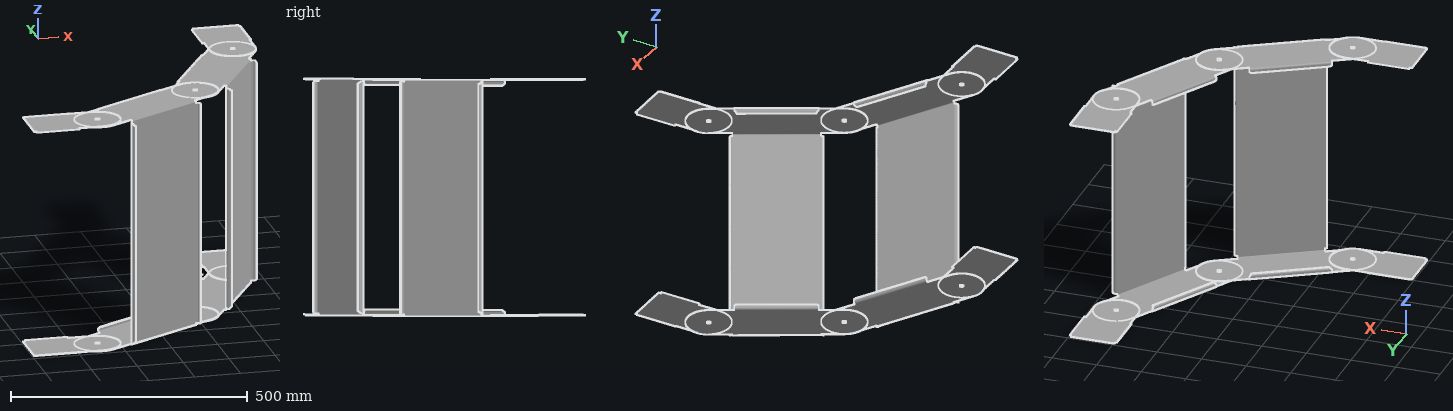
import cadquery as cq
import math

SHEET = 1.5
FRAME_HEIGHT = 500.5
PLATE_RADIUS = 49.5
JOINT_PITCH = 287.0
END_LENGTH = 150.0
LINK_TURN = 30
HOLE_DIAMETER = 9.0

BEND_RADIUS = 5.55
PANEL_BEND_RADIUS = 3.0
PANEL_OFFSET = 5.55
END_RIM_TURN = 45
END_RIM_LENGTH = 93.0
HOOK_WALL = 3.0
RIM_INSET = 5.0

INNER_RADIUS = BEND_RADIUS - SHEET
PANEL_LENGTH = JOINT_PITCH - 2 * PLATE_RADIUS
PANEL_Y = -PLATE_RADIUS - PANEL_OFFSET
PANEL_RIM_LENGTH = FRAME_HEIGHT - 2 * RIM_INSET


def bend_point(radius, turn):
    """Point on a bend that starts at the sheet edge (0, 0) and turns down by the given degrees."""
    angle = math.radians(turn)
    return (radius * math.sin(angle), radius * math.cos(angle) - BEND_RADIUS)


def curved_rim(length):
    """Rim along +Z made of one bend; the sheet it continues lies at x < 0, y = -SHEET to 0."""
    return (
        cq.Workplane("XY")
        .moveTo(0, 0)
        .threePointArc(bend_point(BEND_RADIUS, END_RIM_TURN / 2), bend_point(BEND_RADIUS, END_RIM_TURN))
        .lineTo(*bend_point(INNER_RADIUS, END_RIM_TURN))
        .threePointArc(bend_point(INNER_RADIUS, END_RIM_TURN / 2), (0, -SHEET))
        .close()
        .extrude(length)
    )


def hooked_rim(length):
    """Rim along +Z with two quarter bends and a flat strip between them, bevelled at its tip corners."""
    wall_end = -BEND_RADIUS - HOOK_WALL
    tip_y = wall_end - BEND_RADIUS
    outer_middle = bend_point(BEND_RADIUS, 45)
    inner_middle = bend_point(INNER_RADIUS, 45)
    hook = (
        cq.Workplane("XY")
        .moveTo(0, 0)
        .threePointArc(outer_middle, (BEND_RADIUS, -BEND_RADIUS))
        .lineTo(BEND_RADIUS, wall_end)
        .threePointArc((outer_middle[0], tip_y - outer_middle[1]), (0, tip_y))
        .lineTo(0, tip_y + SHEET)
        .threePointArc((inner_middle[0], tip_y - inner_middle[1]), (INNER_RADIUS, wall_end))
        .lineTo(INNER_RADIUS, -BEND_RADIUS)
        .threePointArc(inner_middle, (0, -SHEET))
        .close()
        .extrude(length)
    )
    corner = (
        cq.Workplane("YZ")
        .polyline([(wall_end, 0), (tip_y, 0), (tip_y, BEND_RADIUS)])
        .close()
        .extrude(BEND_RADIUS)
    )
    return hook.cut(corner).cut(corner.mirror("XY", (0, 0, length / 2)))


def upper_side_rim(strip, start_x):
    """Lay a rim along +X on the +Y edge of a plate whose top face is at z = 0."""
    along_x = strip.rotate((0, 0, 0), (1, 1, 1), 120)
    return along_x.translate((start_x, PLATE_RADIUS, 0))


def pivot_hole(x):
    return cq.Workplane("XY").center(x, 0).circle(HOLE_DIAMETER / 2).extrude(-SHEET)


def upper_end_plate():
    """End plate along -X from its joint at the origin, top face at z = 0, both sides rimmed."""
    plate = (
        cq.Workplane("XY")
        .moveTo(-END_LENGTH, PLATE_RADIUS)
        .lineTo(0, PLATE_RADIUS)
        .threePointArc((PLATE_RADIUS, 0), (0, -PLATE_RADIUS))
        .lineTo(-END_LENGTH, -PLATE_RADIUS)
        .close()
        .extrude(-SHEET)
        .cut(pivot_hole(0))
    )
    side = upper_side_rim(curved_rim(END_RIM_LENGTH), RIM_INSET - END_LENGTH)
    return plate.union(side).union(side.mirror("XZ"))


def upper_link_plate():
    """Channel plate from the joint at the origin to the next one along +X, top face at z = 0."""
    plate = (
        cq.Workplane("XY")
        .center(JOINT_PITCH / 2, 0)
        .slot2D(JOINT_PITCH + 2 * PLATE_RADIUS, 2 * PLATE_RADIUS)
        .extrude(-SHEET)
        .cut(pivot_hole(0))
        .cut(pivot_hole(JOINT_PITCH))
    )
    rim_length = PANEL_LENGTH - 2 * RIM_INSET
    return plate.union(upper_side_rim(hooked_rim(rim_length), PLATE_RADIUS + RIM_INSET))


def plate_pair(upper_plate):
    """The plate at the top of the frame and its mirror image at the bottom."""
    upper = upper_plate.translate((0, 0, FRAME_HEIGHT))
    return upper.union(upper.mirror("XY", (0, 0, FRAME_HEIGHT / 2)))


def back_panel():
    """Panel on the -Y side, bent round into the plates, with a hooked rim at each end."""
    outside = (
        cq.Workplane("XY")
        .box(PANEL_LENGTH, PANEL_OFFSET, FRAME_HEIGHT, centered=False)
        .edges("|X and <Y")
        .fillet(PANEL_BEND_RADIUS)
    )
    inside = (
        cq.Workplane("XY")
        .box(PANEL_LENGTH, PANEL_OFFSET - SHEET, FRAME_HEIGHT - 2 * SHEET, centered=False)
        .edges("|X and <Y")
        .fillet(PANEL_BEND_RADIUS - SHEET)
        .translate((0, SHEET, SHEET))
    )
    panel = outside.cut(inside).translate((PLATE_RADIUS, PANEL_Y, 0))
    far_rim = hooked_rim(PANEL_RIM_LENGTH).translate(
        (JOINT_PITCH - PLATE_RADIUS, PANEL_Y + SHEET, RIM_INSET)
    )
    return panel.union(far_rim).union(far_rim.mirror("YZ", (JOINT_PITCH / 2, 0, 0)))


def lower_arm():
    """Channel link with its end plates, ending in the middle joint on the Z axis."""
    channel = plate_pair(upper_link_plate()).union(back_panel())
    end_plates = (
        plate_pair(upper_end_plate())
        .rotate((0, 0, 0), (0, 0, 1), -LINK_TURN)
        .translate((0, 0, SHEET))
    )
    return (
        channel.union(end_plates)
        .translate((-JOINT_PITCH, 0, 0))
        .rotate((0, 0, 0), (0, 0, 1), LINK_TURN)
    )


def mirrored_arm(arm):
    """Mirror image across the line y = -x, one sheet lower so that the plates stack at the middle joint."""
    diagonal_plane_normal = cq.Vector(1, 1, 0)
    return arm.mirror(diagonal_plane_normal, (0, 0, 0)).translate((0, 0, -SHEET))


first_arm = lower_arm()
second_arm = mirrored_arm(first_arm)

result = cq.Compound.makeCompound([first_arm.val(), second_arm.val()])